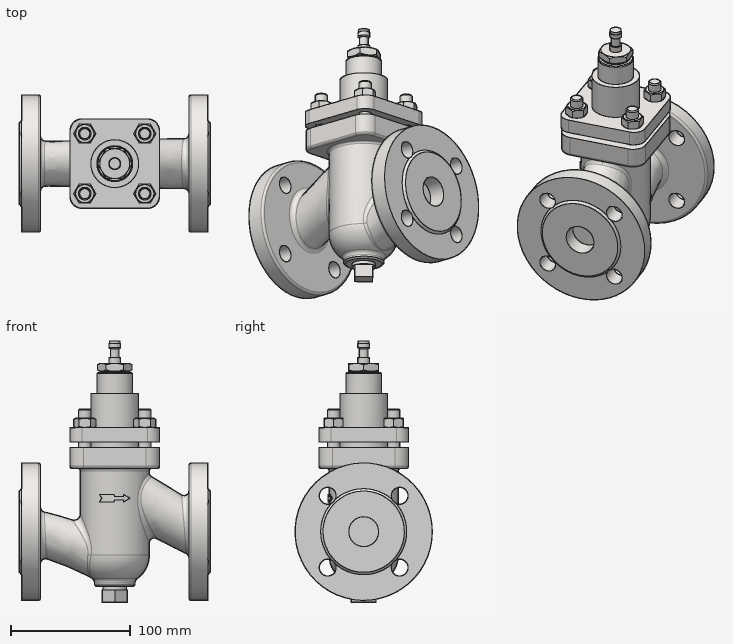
import cadquery as cq
import math


face_to_face = 160.0
top_z = 159.72
bottom_z = -59.15

edge_tolerance = 0.01

flange_diameter = 115.0
flange_thickness = 16.0
flange_edge_radius = 2.0
raised_face_height = 2.0
raised_face_diameter = 68.0
raised_face_root_diameter = 72.0
bolt_circle_diameter = 85.0
bolt_hole_diameter = 14.0
bolt_hole_count = 4
first_bolt_hole_angle = 45.0
bore_diameter = 25.0
bore_depth = 15.0
flange_front = face_to_face / 2 - raised_face_height
flange_back = flange_front - flange_thickness

barrel_diameter = 58.0
barrel_radius = barrel_diameter / 2
bowl_start_z = -19.7
bowl_radius = 24.0
bowl_centre_r = barrel_radius - bowl_radius
boss_diameter = 34.0
boss_bottom_z = -46.0
boss_chamfer = 1.5
boss_fillet = 4.5

inlet_sections = [(14, -20, 21.0, 21.5), (36, -10.3, 19.3, 20.4), (flange_back, -2, 19.0, 19.2)]
outlet_sections = [(16, 29.5, 20.6, 26.0), (34, 19.4, 20.9, 24.8), (flange_back, 3.8, 20.9, 23.4)]
inlet_barrel_fillet = 5.0
outlet_barrel_fillet = 4.0
branch_flange_fillet = 4.0

square_side = 75.0
body_flange_bottom_z = 52.8
body_flange_top_z = 70.5
body_flange_corner_radius = 11.5
body_flange_edge_radius = 2.0
body_flange_fillet = 2.0
cover_bottom_z = 75.0
cover_top_z = 87.0
cover_corner_radius = 10.0
spigot_diameter = 41.0

stud_circle_diameter = 71.0
stud_spacing = stud_circle_diameter / math.sqrt(2)
stud_diameter = 10.5
stud_top_z = 102.6
stud_chamfer = 1.0
nut_across_flats = 16.0
nut_face_diameter = 15.2
nut_height = 8.0
nut_turning_angle = 30.0

bonnet_diameter = 40.0
bonnet_top_z = 115.8
sleeve_diameter = 29.97
sleeve_top_z = 133.0
sleeve_chamfer = 0.8
neck_diameter = 23.5
lock_nut_bottom_z = 134.2
lock_nut_top_z = 140.8
lock_nut_across_flats = 25.0
lock_nut_face_diameter = 25.0
spindle_diameter = 10.0
spindle_groove_diameter = 7.5
groove_bottom_z = 145.7
groove_top_z = 152.9
groove_taper = 1.0
spindle_tip_step = 2.2
spindle_tip_diameter = 9.2

plug_neck_diameter = 19.8
plug_square_top_z = -48.7
plug_square_diagonal = 21.0

arrow_half_length = 12.8
arrow_centre_z = 28.0
arrow_tail_half_width = 3.2
arrow_shaft_half_width = 1.3
arrow_head_length = 5.5
arrow_notch = 2.0
arrow_shoulder_inset = 0.8
arrow_relief = 1.0


def cylinder(diameter, z_low, z_high):
    return cq.Workplane("XY").workplane(offset=z_low).circle(diameter / 2).extrude(z_high - z_low)


def square_plate(corner_radius, z_low, z_high):
    plate = cq.Workplane("XY").workplane(offset=z_low).rect(square_side, square_side)
    return plate.extrude(z_high - z_low).edges("|Z").fillet(corner_radius)


def level_selector(z):
    """Selects the edges centred at height z."""
    return cq.selectors.BoxSelector(
        (-square_side, -square_side, z - edge_tolerance),
        (square_side, square_side, z + edge_tolerance),
    )


def hexagon_nut(across_flats, face_diameter, z_low, z_high):
    """Hexagon with corners on the X axis and its ends turned down to a round face."""
    corner_radius = across_flats / math.sqrt(3)
    face_radius = face_diameter / 2
    turned_drop = (corner_radius - face_radius) * math.tan(math.radians(nut_turning_angle))
    prism = cq.Workplane("XY").workplane(offset=z_low).polygon(6, 2 * corner_radius)
    blank = (
        cq.Workplane("XZ")
        .moveTo(0, z_low)
        .lineTo(face_radius, z_low)
        .lineTo(corner_radius, z_low + turned_drop)
        .lineTo(corner_radius, z_high - turned_drop)
        .lineTo(face_radius, z_high)
        .lineTo(0, z_high)
        .close()
        .revolve(360, (0, 0), (0, 1))
    )
    return prism.extrude(z_high - z_low).intersect(blank)


def make_barrel():
    """Cylinder whose bottom is rounded into a bowl with a flat floor."""
    diagonal = bowl_radius * math.sqrt(0.5)
    return (
        cq.Workplane("XZ")
        .moveTo(0, body_flange_top_z)
        .lineTo(barrel_radius, body_flange_top_z)
        .lineTo(barrel_radius, bowl_start_z)
        .threePointArc(
            (bowl_centre_r + diagonal, bowl_start_z - diagonal),
            (bowl_centre_r, bowl_start_z - bowl_radius),
        )
        .lineTo(0, bowl_start_z - bowl_radius)
        .close()
        .revolve(360, (0, 0), (0, 1))
    )


def make_drain_boss():
    """Boss below the bowl, with a concave fillet tangent to the bowl and to the boss side."""
    boss_radius = boss_diameter / 2
    fillet_r = boss_radius + boss_fillet
    centre_distance = bowl_radius + boss_fillet
    fillet_z = bowl_start_z - math.sqrt(centre_distance**2 - (fillet_r - bowl_centre_r) ** 2)
    bowl_share = bowl_radius / centre_distance
    bowl_touch_r = bowl_centre_r + bowl_share * (fillet_r - bowl_centre_r)
    bowl_touch_z = bowl_start_z + bowl_share * (fillet_z - bowl_start_z)
    start_angle = math.atan2(bowl_touch_z - fillet_z, bowl_touch_r - fillet_r)
    middle_angle = (start_angle + math.pi) / 2
    fillet_middle = (
        fillet_r + boss_fillet * math.cos(middle_angle),
        fillet_z + boss_fillet * math.sin(middle_angle),
    )
    return (
        cq.Workplane("XZ")
        .moveTo(0, bowl_touch_z)
        .lineTo(bowl_touch_r, bowl_touch_z)
        .threePointArc(fillet_middle, (boss_radius, fillet_z))
        .lineTo(boss_radius, boss_bottom_z + boss_chamfer)
        .lineTo(boss_radius - boss_chamfer, boss_bottom_z)
        .lineTo(0, boss_bottom_z)
        .close()
        .revolve(360, (0, 0), (0, 1))
    )


def make_branch(sections, side):
    """Loft of ellipses in planes across X; side is -1 for the inlet and 1 for the outlet."""
    wires = []
    for distance, centre_z, half_width, half_height in sections:
        plane = cq.Workplane("YZ", origin=(side * distance, 0, centre_z))
        wires.append(plane.ellipse(half_width, half_height).wires().val())
    return cq.Workplane(cq.Solid.makeLoft(wires))


def make_flange(side):
    """Flange with a tapered raised face; side is -1 for the inlet and 1 for the outlet."""
    back_face = ">X" if side < 0 else "<X"
    flange = (
        cq.Workplane("YZ", origin=(side * flange_back, 0, 0))
        .circle(flange_diameter / 2)
        .extrude(side * flange_thickness)
        .faces(back_face)
        .edges()
        .fillet(flange_edge_radius)
    )
    raised_face = cq.Solid.makeCone(
        raised_face_root_diameter / 2,
        raised_face_diameter / 2,
        raised_face_height,
        cq.Vector(side * flange_front, 0, 0),
        cq.Vector(side, 0, 0),
    )
    return flange.union(cq.Workplane(raised_face))


def branch_edges(body, side):
    """Edges where a branch meets the barrel, and edges where it meets the flange back."""
    at_barrel = []
    at_flange = []
    for edge in body.edges("%BSPLINE").vals():
        box = edge.BoundingBox()
        near, far = sorted((side * box.xmin, side * box.xmax))
        if near > flange_back - edge_tolerance:
            at_flange.append(edge)
        elif 0 < near and far < barrel_radius + edge_tolerance:
            at_barrel.append(edge)
    return at_barrel, at_flange


def add_branch(body, sections, barrel_fillet, side):
    """Join one branch and its flange to the barrel, blend both joints and drill the holes."""
    body = body.union(make_branch(sections, side)).union(make_flange(side))
    _, at_flange = branch_edges(body, side)
    body = body.newObject(at_flange).fillet(branch_flange_fillet)
    at_barrel, _ = branch_edges(body, side)
    body = body.newObject(at_barrel).fillet(barrel_fillet)
    bore = (
        cq.Workplane("YZ", origin=(side * face_to_face / 2, 0, 0))
        .circle(bore_diameter / 2)
        .extrude(-side * bore_depth)
    )
    bolt_holes = (
        cq.Workplane("YZ", origin=(side * face_to_face / 2, 0, 0))
        .polarArray(bolt_circle_diameter / 2, first_bolt_hole_angle, 360, bolt_hole_count)
        .circle(bolt_hole_diameter / 2)
        .extrude(-side * (raised_face_height + flange_thickness))
    )
    return body.cut(bore).cut(bolt_holes)


def add_body_flange(body):
    plate = square_plate(body_flange_corner_radius, body_flange_bottom_z, body_flange_top_z)
    plate = plate.faces("<Z").edges().fillet(body_flange_edge_radius)
    body = body.union(plate)
    joint = body.edges(level_selector(body_flange_bottom_z)).edges("%CIRCLE")
    return joint.edges(cq.selectors.RadiusNthSelector(-1)).fillet(body_flange_fillet)


def make_cover():
    cover = square_plate(cover_corner_radius, cover_bottom_z, cover_top_z)
    return cover.union(cylinder(spigot_diameter, body_flange_top_z, cover_bottom_z))


def make_stud_with_nut():
    stud = cylinder(stud_diameter, body_flange_top_z, stud_top_z).faces(">Z").chamfer(stud_chamfer)
    nut = hexagon_nut(nut_across_flats, nut_face_diameter, cover_top_z, cover_top_z + nut_height)
    return stud.union(nut)


def make_bonnet():
    bonnet = cylinder(bonnet_diameter, cover_top_z, bonnet_top_z)
    sleeve = cylinder(sleeve_diameter, bonnet_top_z, sleeve_top_z).faces(">Z").chamfer(sleeve_chamfer)
    neck = cylinder(neck_diameter, sleeve_top_z, lock_nut_bottom_z)
    lock_nut = hexagon_nut(
        lock_nut_across_flats,
        lock_nut_face_diameter,
        lock_nut_bottom_z,
        lock_nut_top_z,
    )
    return bonnet.union(sleeve).union(neck).union(lock_nut)


def make_spindle():
    radius = spindle_diameter / 2
    groove_radius = spindle_groove_diameter / 2
    tip_radius = spindle_tip_diameter / 2
    tip_z = top_z - spindle_tip_step
    outline = [
        (0, lock_nut_top_z),
        (radius, lock_nut_top_z),
        (radius, groove_bottom_z),
        (groove_radius, groove_bottom_z),
        (groove_radius, groove_top_z),
        (radius, groove_top_z + groove_taper),
        (radius, tip_z),
        (tip_radius, tip_z),
        (tip_radius, top_z),
        (0, top_z),
    ]
    return cq.Workplane("XZ").polyline(outline).close().revolve(360, (0, 0), (0, 1))


def make_drain_plug():
    neck = cylinder(plug_neck_diameter, plug_square_top_z, boss_bottom_z)
    square = cq.Workplane("XY").workplane(offset=bottom_z).polygon(4, plug_square_diagonal)
    return neck.union(square.extrude(plug_square_top_z - bottom_z))


def make_flow_arrow():
    """Arrow pointing along +X, wrapped on the barrel and standing proud of it."""
    head_x = arrow_half_length - arrow_head_length
    upper_half = [
        (arrow_notch - arrow_half_length, 0),
        (-arrow_half_length, arrow_tail_half_width),
        (-arrow_shoulder_inset, arrow_tail_half_width),
        (0, arrow_shaft_half_width),
        (head_x, arrow_shaft_half_width),
        (head_x, arrow_tail_half_width),
        (arrow_half_length, 0),
    ]
    lower_half = [(x, -z) for x, z in upper_half[-2:0:-1]]
    reach = barrel_radius + arrow_relief
    prism = (
        cq.Workplane("XZ", origin=(0, 0, arrow_centre_z))
        .polyline(upper_half + lower_half)
        .close()
        .extrude(reach)
    )
    low_z = arrow_centre_z - arrow_half_length
    high_z = arrow_centre_z + arrow_half_length
    return prism.intersect(cylinder(2 * reach, low_z, high_z))


result = add_branch(make_barrel(), inlet_sections, inlet_barrel_fillet, -1)
result = add_branch(result, outlet_sections, outlet_barrel_fillet, 1)
result = result.union(make_drain_boss())
result = add_body_flange(result)
result = result.union(make_cover())
for stud_x in (-stud_spacing / 2, stud_spacing / 2):
    for stud_y in (-stud_spacing / 2, stud_spacing / 2):
        result = result.union(make_stud_with_nut().translate((stud_x, stud_y, 0)))
result = result.union(make_bonnet()).union(make_spindle())
result = result.union(make_drain_plug()).union(make_flow_arrow())